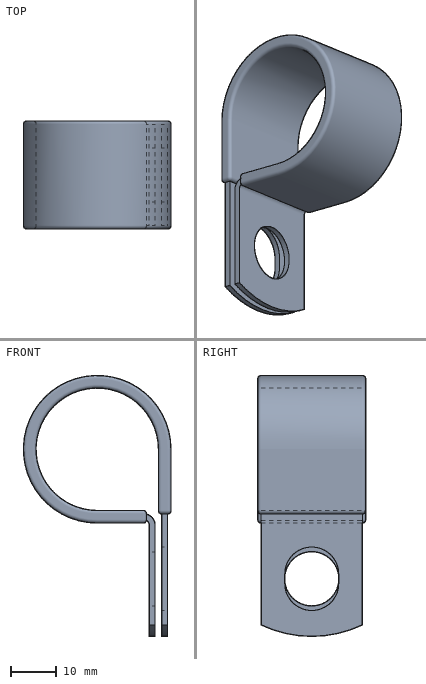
import cadquery as cq
import math

STRAP_THICKNESS = 1.3
STRAP_WIDTH = 22.35
CUSHION_COVER = 0.75
LOOP_OUTER_RADIUS = 16.3
TOTAL_HEIGHT = 57.55
LOWER_LEG_LENGTH = 10.9
SIDE_LEG_LENGTH = 14.3
TAB_GAP = 1.45
BEND_INNER_RADIUS = 1.2
HOLE_DIAMETER = 11.9
SLOT_LENGTH = 14.0
HOLE_HEIGHT = 12.7
TIP_ARC_HEIGHT = 2.55
EDGE_ROUND = 0.74

CUSHION_THICKNESS = STRAP_THICKNESS + 2 * CUSHION_COVER
CUSHION_WIDTH = STRAP_WIDTH + 2 * CUSHION_COVER
LOOP_INNER_RADIUS = LOOP_OUTER_RADIUS - CUSHION_THICKNESS
STRAP_OUTER_RADIUS = LOOP_OUTER_RADIUS - CUSHION_COVER
STRAP_INNER_RADIUS = STRAP_OUTER_RADIUS - STRAP_THICKNESS
TAB_BOTTOM = LOOP_OUTER_RADIUS - TOTAL_HEIGHT
BENT_TAB_OUTER_X = STRAP_INNER_RADIUS - TAB_GAP
BENT_TAB_INNER_X = BENT_TAB_OUTER_X - STRAP_THICKNESS
BEND_OUTER_RADIUS = BEND_INNER_RADIUS + STRAP_THICKNESS
BEND_CENTER_X = BENT_TAB_INNER_X - BEND_INNER_RADIUS
BEND_CENTER_Z = -STRAP_OUTER_RADIUS - BEND_INNER_RADIUS


def on_diagonal(radius):
    """Offset along each axis of a point on a circle at 45 degrees."""
    return radius * math.sqrt(0.5)


def extrude_along_y(profile, width):
    return profile.close().extrude(width / 2, both=True)


def make_cushion():
    """Three-quarter loop with two straight legs, rounded on every edge."""
    outer = on_diagonal(LOOP_OUTER_RADIUS)
    inner = on_diagonal(LOOP_INNER_RADIUS)
    profile = (
        cq.Workplane("XZ")
        .moveTo(LOOP_OUTER_RADIUS, -SIDE_LEG_LENGTH)
        .lineTo(LOOP_OUTER_RADIUS, 0)
        .threePointArc((-outer, outer), (0, -LOOP_OUTER_RADIUS))
        .lineTo(LOWER_LEG_LENGTH, -LOOP_OUTER_RADIUS)
        .lineTo(LOWER_LEG_LENGTH, -LOOP_INNER_RADIUS)
        .lineTo(0, -LOOP_INNER_RADIUS)
        .threePointArc((-inner, inner), (LOOP_INNER_RADIUS, 0))
        .lineTo(LOOP_INNER_RADIUS, -SIDE_LEG_LENGTH)
    )
    cushion = extrude_along_y(profile, CUSHION_WIDTH)
    return cushion.edges().fillet(EDGE_ROUND)


def make_straight_tab():
    """Strap end that runs straight down from inside the side leg."""
    profile = (
        cq.Workplane("XZ")
        .moveTo(STRAP_INNER_RADIUS, TAB_BOTTOM)
        .lineTo(STRAP_OUTER_RADIUS, TAB_BOTTOM)
        .lineTo(STRAP_OUTER_RADIUS, 0)
        .lineTo(STRAP_INNER_RADIUS, 0)
    )
    return extrude_along_y(profile, STRAP_WIDTH)


def make_bent_tab():
    """Strap end that leaves the lower leg and bends down beside the straight tab."""
    outer = on_diagonal(BEND_OUTER_RADIUS)
    inner = on_diagonal(BEND_INNER_RADIUS)
    profile = (
        cq.Workplane("XZ")
        .moveTo(0, -STRAP_INNER_RADIUS)
        .lineTo(BEND_CENTER_X, -STRAP_INNER_RADIUS)
        .threePointArc(
            (BEND_CENTER_X + outer, BEND_CENTER_Z + outer),
            (BENT_TAB_OUTER_X, BEND_CENTER_Z),
        )
        .lineTo(BENT_TAB_OUTER_X, TAB_BOTTOM)
        .lineTo(BENT_TAB_INNER_X, TAB_BOTTOM)
        .lineTo(BENT_TAB_INNER_X, BEND_CENTER_Z)
        .threePointArc(
            (BEND_CENTER_X + inner, BEND_CENTER_Z + inner),
            (BEND_CENTER_X, -STRAP_OUTER_RADIUS),
        )
        .lineTo(0, -STRAP_OUTER_RADIUS)
    )
    return extrude_along_y(profile, STRAP_WIDTH)


def make_tab_outline():
    """Block along X with the tab silhouette: straight sides and an arched tip."""
    half_width = STRAP_WIDTH / 2
    corner_z = TAB_BOTTOM + TIP_ARC_HEIGHT
    return (
        cq.Workplane("YZ")
        .moveTo(-half_width, 0)
        .lineTo(-half_width, corner_z)
        .threePointArc((0, TAB_BOTTOM), (half_width, corner_z))
        .lineTo(half_width, 0)
        .close()
        .extrude(LOOP_OUTER_RADIUS)
    )


hole_plane = cq.Workplane("YZ").center(0, TAB_BOTTOM + HOLE_HEIGHT)
round_hole = hole_plane.circle(HOLE_DIAMETER / 2).extrude(LOOP_OUTER_RADIUS)
slot = hole_plane.slot2D(SLOT_LENGTH, HOLE_DIAMETER, 90).extrude(LOOP_OUTER_RADIUS)

tab_outline = make_tab_outline()
straight_tab = make_straight_tab().intersect(tab_outline).cut(slot)
bent_tab = make_bent_tab().intersect(tab_outline).cut(round_hole)
result = make_cushion().union(straight_tab).union(bent_tab)